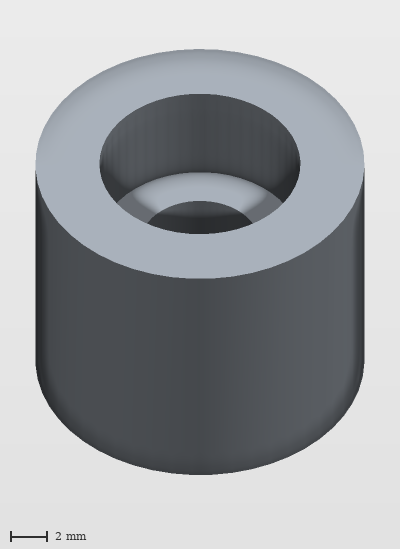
import cadquery as cq

outer_diameter = 18.0
height = 15.0

bore_diameter = 6.5
counterbore_diameter = 11.0
counterbore_depth = 6.0

body = cq.Workplane("XY").circle(outer_diameter / 2).extrude(height)

result = body.faces(">Z").workplane().cboreHole(
    bore_diameter, counterbore_diameter, counterbore_depth
)